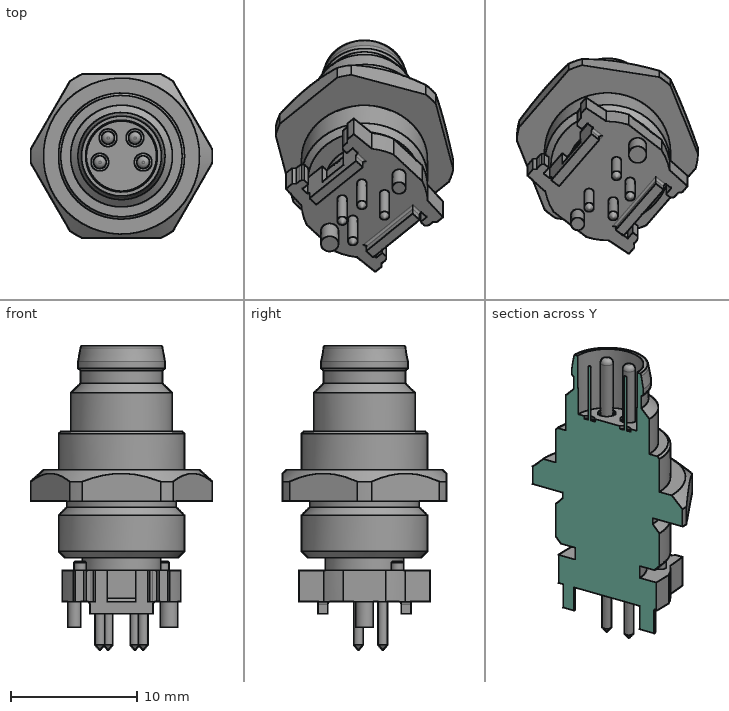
import cadquery as cq

TOP_Z = 24.1
RIM_ROUND_Z = 23.93
COLLAR_TOP_Z = 22.85
COLLAR_BOTTOM_Z = 22.32
NECK_TOP_Z = 22.12
NECK_BOTTOM_Z = 21.1
SLEEVE_TOP_Z = 20.36
THREAD_TOP_Z = 17.33
NUT_TOP_Z = 14.3
NUT_SHOULDER_Z = 13.35
NUT_BOTTOM_Z = 11.8
RELIEF_BOTTOM_Z = 11.33
LOWER_TOP_Z = 10.68
LOWER_SHOULDER_Z = 7.83
LOWER_BOTTOM_Z = 7.33
BASE_TOP_Z = 6.35
BASE_BOTTOM_Z = 3.85
TAB_BOTTOM_Z = 2.9
PEG_BOTTOM_Z = 1.83

NECK_R = 3.25
RIM_R = 3.15
COLLAR_R = 3.45
SLEEVE_R = 4.02
THREAD_R = 5.0
THREAD_CHAMFER = 0.2
RELIEF_R = 4.35
LOWER_END_R = 4.48
STEM_R = 3.1

BORE_TOP_R = 2.85
BORE_FLOOR_R = 2.77
BORE_FLOOR_Z = 19.05

NUT_FLATS = 13.0
NUT_TURN = 30
NUT_ACROSS_CORNERS = 14.39
NUT_CORNER_R = NUT_ACROSS_CORNERS / 2
NUT_TOP_R = 6.17

WIDE_PAIR_X = 1.7
WIDE_PAIR_Y = -0.48
NARROW_PAIR_X = 1.05
NARROW_PAIR_Y = 1.45
PIN_PLACES = [
    (WIDE_PAIR_X, WIDE_PAIR_Y),
    (-WIDE_PAIR_X, WIDE_PAIR_Y),
    (NARROW_PAIR_X, NARROW_PAIR_Y),
    (-NARROW_PAIR_X, NARROW_PAIR_Y),
]
CONTACT_R = 0.5
CONTACT_TOP_Z = 23.8
CONTACT_ROUND = 0.4
SOLDER_PIN_R = 0.39
SOLDER_POINT = 0.45
PIN_POCKET_R = 0.7
PIN_POCKET_DEPTH = 0.25

BASE_R = THREAD_R
BASE_HALF_X = 4.7
WING_ROOT_X = 3.8
WING_ROOT_Y = 3.23
WING_TIP_X = 3.66
WING_TIP_Y = 5.18
WING_STEP_OUTER_X = 3.0
WING_STEP_INNER_X = 2.77
WING_STEP_Y = WING_TIP_Y - (WING_STEP_OUTER_X - WING_STEP_INNER_X)
HOOK_BEND_X = 2.43
HOOK_NOSE_X = 2.22
HOOK_NOSE_Y = 4.92
HOOK_END_X = 2.07
HOOK_INNER_Y = 4.3
SLOT_END_X = 2.72
PLATE_Y = 3.69
WINDOW_HALF_X = 1.13
WINDOW_DEPTH = 0.5
WINDOW_SLOPE_RISE = 0.3

TAB_HALF_X = 2.5
TAB_THICKNESS = 0.8
TAB_FILLET = 0.2
SELECT_MARGIN = 0.02

SMALL_PEG_R = 0.53
SMALL_PEG_X = -3.74
LARGE_PEG_R = 0.7
LARGE_PEG_X = 3.75
STUD_R = 0.48
STUD_X = 3.28
STUD_Y = 2.6
STUD_TOP_Z = 7.05
STUD_CHAMFER = 0.12


def cylinder(x, y, radius, bottom, top):
    """Upright cylinder at (x, y) between two heights."""
    return cq.Workplane("XY", origin=(x, y, bottom)).circle(radius).extrude(top - bottom)


def body():
    """Turned body from the rim down to the stem that enters the base."""
    return (
        cq.Workplane("XZ")
        .moveTo(0, BASE_BOTTOM_Z)
        .lineTo(STEM_R, BASE_BOTTOM_Z)
        .lineTo(STEM_R, LOWER_BOTTOM_Z)
        .lineTo(LOWER_END_R, LOWER_BOTTOM_Z)
        .lineTo(THREAD_R, LOWER_SHOULDER_Z)
        .lineTo(THREAD_R, LOWER_TOP_Z)
        .lineTo(RELIEF_R, RELIEF_BOTTOM_Z)
        .lineTo(RELIEF_R, NUT_BOTTOM_Z)
        .lineTo(THREAD_R, NUT_BOTTOM_Z)
        .lineTo(THREAD_R, THREAD_TOP_Z - THREAD_CHAMFER)
        .lineTo(THREAD_R - THREAD_CHAMFER, THREAD_TOP_Z)
        .lineTo(SLEEVE_R, THREAD_TOP_Z)
        .lineTo(SLEEVE_R, SLEEVE_TOP_Z)
        .lineTo(NECK_R, NECK_BOTTOM_Z)
        .lineTo(NECK_R, NECK_TOP_Z)
        .lineTo(COLLAR_R, COLLAR_BOTTOM_Z)
        .lineTo(COLLAR_R, COLLAR_TOP_Z)
        .lineTo(NECK_R, RIM_ROUND_Z)
        .tangentArcPoint((RIM_R, TOP_Z), relative=False)
        .lineTo(0, TOP_Z)
        .close()
        .revolve(360, (0, 0), (0, 1))
    )


def socket():
    """Space inside the top end, with a shallow pocket around each contact pin."""
    space = (
        cq.Workplane("XZ")
        .moveTo(0, BORE_FLOOR_Z)
        .lineTo(BORE_FLOOR_R, BORE_FLOOR_Z)
        .lineTo(BORE_TOP_R, TOP_Z)
        .lineTo(0, TOP_Z)
        .close()
        .revolve(360, (0, 0), (0, 1))
    )
    for x, y in PIN_PLACES:
        space = space.union(cylinder(x, y, PIN_POCKET_R, BORE_FLOOR_Z - PIN_POCKET_DEPTH, BORE_FLOOR_Z))
    return space


def nut():
    """Hexagon nut with rounded corners and a conical top chamfer."""
    hexagon = (
        cq.Workplane("XY", origin=(0, 0, NUT_BOTTOM_Z))
        .polygon(6, NUT_FLATS, circumscribed=True)
        .extrude(NUT_TOP_Z - NUT_BOTTOM_Z)
        .rotate((0, 0, 0), (0, 0, 1), NUT_TURN)
    )
    turned_limit = (
        cq.Workplane("XZ")
        .moveTo(0, NUT_BOTTOM_Z)
        .lineTo(NUT_CORNER_R, NUT_BOTTOM_Z)
        .lineTo(NUT_CORNER_R, NUT_SHOULDER_Z)
        .lineTo(NUT_TOP_R, NUT_TOP_Z)
        .lineTo(0, NUT_TOP_Z)
        .close()
        .revolve(360, (0, 0), (0, 1))
    )
    return hexagon.intersect(turned_limit)


def contact_pin(x, y):
    """Round-nosed contact in the socket that runs down to a pointed solder pin."""
    contact = cylinder(x, y, CONTACT_R, BASE_BOTTOM_Z, CONTACT_TOP_Z)
    contact = contact.faces(">Z").edges().fillet(CONTACT_ROUND)
    solder_pin = (
        cq.Workplane("XZ", origin=(x, y, 0))
        .lineTo(SOLDER_PIN_R, SOLDER_POINT)
        .lineTo(SOLDER_PIN_R, BASE_BOTTOM_Z)
        .lineTo(0, BASE_BOTTOM_Z)
        .close()
        .revolve(360, (0, 0), (0, 1))
    )
    return contact.union(solder_pin)


def clip_opening():
    """Open space on the +Y side of the base, between the two hooked wings."""
    half_outline = [
        (SLOT_END_X, PLATE_Y),
        (SLOT_END_X, HOOK_INNER_Y),
        (HOOK_END_X, HOOK_INNER_Y),
        (HOOK_END_X, HOOK_NOSE_Y - (HOOK_NOSE_X - HOOK_END_X)),
        (HOOK_NOSE_X, HOOK_NOSE_Y),
        (HOOK_BEND_X, WING_STEP_Y),
        (WING_STEP_INNER_X, WING_STEP_Y),
        (WING_STEP_OUTER_X, WING_TIP_Y),
    ]
    mirrored = [(-x, y) for x, y in reversed(half_outline)]
    return (
        cq.Workplane("XY", origin=(0, 0, BASE_BOTTOM_Z))
        .polyline(half_outline + mirrored)
        .close()
        .extrude(BASE_TOP_Z - BASE_BOTTOM_Z)
    )


def plate_window():
    """Recess in the +Y face of the base plate, open at the top and with a sloping floor."""
    back_y = PLATE_Y - WINDOW_DEPTH
    return (
        cq.Workplane("YZ", origin=(-WINDOW_HALF_X, 0, 0))
        .moveTo(PLATE_Y, BASE_BOTTOM_Z)
        .lineTo(PLATE_Y, BASE_TOP_Z)
        .lineTo(back_y, BASE_TOP_Z)
        .lineTo(back_y, BASE_BOTTOM_Z + WINDOW_SLOPE_RISE)
        .close()
        .extrude(2 * WINDOW_HALF_X)
    )


def base_block():
    """Round-sided slab whose wings narrow slightly toward their +Y and -Y tips."""
    height = BASE_TOP_Z - BASE_BOTTOM_Z
    sides = (
        cq.Workplane("XY", origin=(0, 0, BASE_BOTTOM_Z))
        .rect(2 * BASE_HALF_X, 2 * WING_ROOT_Y)
        .extrude(height)
    )
    wings = (
        cq.Workplane("XY", origin=(0, 0, BASE_BOTTOM_Z))
        .polyline([
            (WING_ROOT_X, -WING_ROOT_Y),
            (WING_ROOT_X, WING_ROOT_Y),
            (WING_TIP_X, WING_TIP_Y),
            (-WING_TIP_X, WING_TIP_Y),
            (-WING_ROOT_X, WING_ROOT_Y),
            (-WING_ROOT_X, -WING_ROOT_Y),
            (-WING_TIP_X, -WING_TIP_Y),
            (WING_TIP_X, -WING_TIP_Y),
        ])
        .close()
        .extrude(height)
    )
    return cylinder(0, 0, BASE_R, BASE_BOTTOM_Z, BASE_TOP_Z).intersect(sides).union(wings)


def with_tabs(block):
    """Add the two tabs under the base and fillet their roots, except on the outer faces."""
    tab_y = PLATE_Y - TAB_THICKNESS / 2
    tabs = (
        cq.Workplane("XY", origin=(0, 0, TAB_BOTTOM_Z))
        .pushPoints([(0, tab_y), (0, -tab_y)])
        .rect(2 * TAB_HALF_X, TAB_THICKNESS)
        .extrude(BASE_BOTTOM_Z - TAB_BOTTOM_Z)
    )
    block = block.union(tabs)
    tab_root = cq.selectors.BoxSelector(
        (-TAB_HALF_X - SELECT_MARGIN, -PLATE_Y + SELECT_MARGIN, BASE_BOTTOM_Z - SELECT_MARGIN),
        (TAB_HALF_X + SELECT_MARGIN, PLATE_Y - SELECT_MARGIN, BASE_BOTTOM_Z + SELECT_MARGIN),
    )
    return block.edges(tab_root).fillet(TAB_FILLET)


def with_pegs_and_studs(block):
    """Add the two locating pegs below the base and the two chamfered studs on top."""
    block = block.union(cylinder(SMALL_PEG_X, 0, SMALL_PEG_R, PEG_BOTTOM_Z, BASE_BOTTOM_Z))
    block = block.union(cylinder(LARGE_PEG_X, 0, LARGE_PEG_R, PEG_BOTTOM_Z, BASE_BOTTOM_Z))
    for side in (-1, 1):
        stud = cylinder(side * STUD_X, side * STUD_Y, STUD_R, BASE_TOP_Z, STUD_TOP_Z)
        block = block.union(stud.faces(">Z").chamfer(STUD_CHAMFER))
    return block


def base():
    """Complete clip-on base."""
    block = with_tabs(base_block())
    for cutter in (clip_opening(), plate_window()):
        block = block.cut(cutter).cut(cutter.mirror("XZ"))
    return with_pegs_and_studs(block)


result = body().union(nut()).cut(socket()).union(base())
for pin_x, pin_y in PIN_PLACES:
    result = result.union(contact_pin(pin_x, pin_y))